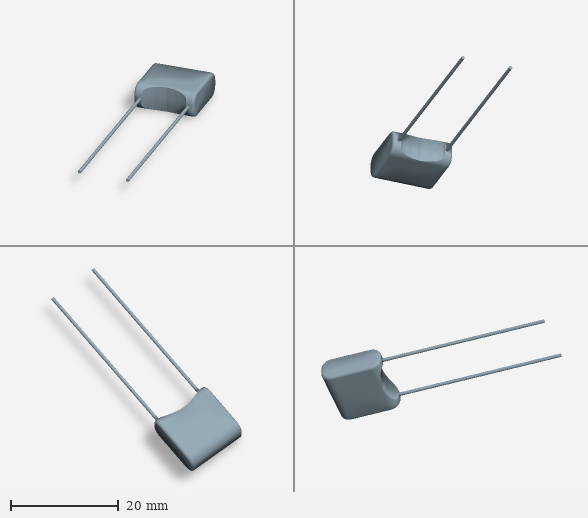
import cadquery as cq


case_width = 11.94
case_length = 11.68
case_thickness = 5.08
long_edge_radius = 2.0
end_edge_radius = 0.55

recess_half_width = 4.4
recess_depth = 1.6
crown_pull = 1.9
foot_pull = 0.65

lead_diameter = 0.64
lead_length = 31.75
lead_spacing = 9.52


def make_recess_cutter():
    """Arch of two mirrored curves, upright at the feet and level at the crown, through the thickness."""
    crown = (0, recess_depth)
    return (
        cq.Workplane("XY", origin=(0, 0, -case_thickness / 2))
        .moveTo(-recess_half_width, 0)
        .bezier([
            (-recess_half_width, 0),
            (-recess_half_width, foot_pull),
            (-crown_pull, recess_depth),
            crown,
        ])
        .bezier([
            crown,
            (crown_pull, recess_depth),
            (recess_half_width, foot_pull),
            (recess_half_width, 0),
        ])
        .close()
        .extrude(case_thickness)
    )


def make_case():
    """Block with rounded long edges, softened side faces and the arched recess."""
    block = (
        cq.Workplane("XY")
        .box(case_width, case_length, case_thickness)
        .translate((0, case_length / 2, 0))
        .edges("|X")
        .fillet(long_edge_radius)
        .faces("<X or >X")
        .edges()
        .fillet(end_edge_radius)
    )
    return block.cut(make_recess_cutter())


def make_lead(x):
    """Straight round wire that starts on the lead face of the case."""
    return (
        cq.Workplane("XZ")
        .center(x, 0)
        .circle(lead_diameter / 2)
        .extrude(lead_length)
    )


case = make_case()
leads = [make_lead(side * lead_spacing / 2) for side in (-1, 1)]

result = cq.Compound.makeCompound([case.val(), *[lead.val() for lead in leads]])